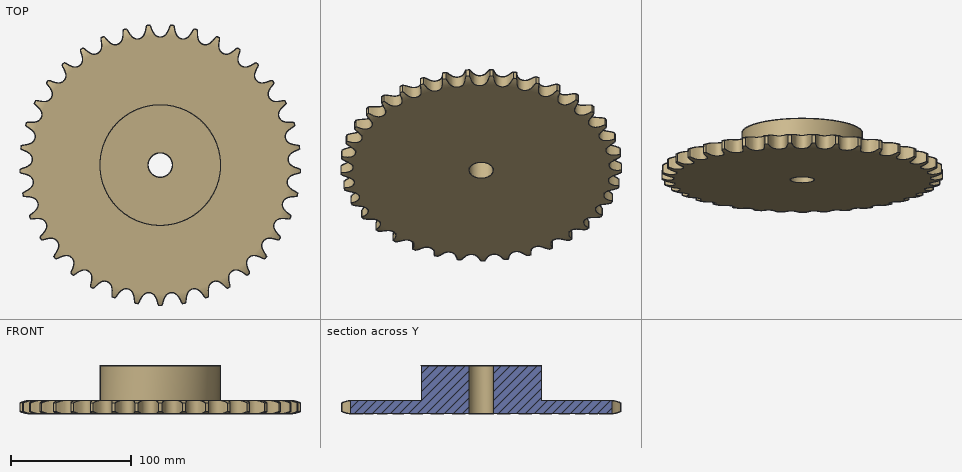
import cadquery as cq
import math

tooth_count = 37
pitch_diameter = 224.6
roller_diameter = 11.9
seat_diameter = 12.0
overall_width = 232.8
tip_half_angle = 0.6
plate_thickness = 11.2
total_height = 40.0
hub_diameter = 100.0
bore_diameter = 20.0

widest_corner_angle = math.radians(90 / tooth_count - tip_half_angle)
outer_radius = overall_width / 2 / math.cos(widest_corner_angle)

relief_start_radius = 107.8
relief_curve_radius = 19.0

pitch_radius = pitch_diameter / 2
seat_radius = seat_diameter / 2
seat_end_heading = math.radians(35 + 60 / tooth_count)
working_angle = math.radians(18 - 56 / tooth_count)
topping_angle = math.radians(17 - 64 / tooth_count)
working_radius = 1.3 * roller_diameter
flat_length = roller_diameter * (1.4 * math.sin(topping_angle) - 0.8 * math.sin(working_angle))
topping_radius = (
    roller_diameter * (0.8 * math.cos(working_angle) + 1.4 * math.cos(topping_angle)) - working_radius
)

cutter_overrun = 1.2


def disc_blank():
    """Toothless disc whose two rims curve inward towards the tooth tips."""
    relief_width = outer_radius - relief_start_radius
    middle_radius = relief_start_radius + relief_width / 2

    def relief_depth(radius):
        distance = radius - relief_start_radius
        return relief_curve_radius - math.sqrt(relief_curve_radius**2 - distance**2)

    middle_depth = relief_depth(middle_radius)
    tip_depth = relief_depth(outer_radius)
    return (
        cq.Workplane("XZ")
        .lineTo(relief_start_radius, 0)
        .threePointArc((middle_radius, middle_depth), (outer_radius, tip_depth))
        .lineTo(outer_radius, plate_thickness - tip_depth)
        .threePointArc(
            (middle_radius, plate_thickness - middle_depth),
            (relief_start_radius, plate_thickness),
        )
        .lineTo(0, plate_thickness)
        .close()
        .revolve(360, (0, 0, 0), (0, 1, 0))
    )


def arc_point(center, radius, heading):
    """Point of a circle where its outward normal is square to the given heading."""
    return center[0] + radius * math.cos(heading), center[1] - radius * math.sin(heading)


def mirrored(point):
    return -point[0], point[1]


def tooth_gap():
    """Cutter for the gap on the +Y axis: seat, working curve, short flat and topping curve."""
    seat_bottom = (0, pitch_radius - seat_radius)
    seat_end = arc_point((0, pitch_radius), seat_radius, seat_end_heading)

    flat_heading = seat_end_heading - working_angle
    working_center = arc_point(seat_end, -working_radius, seat_end_heading)
    working_middle = arc_point(working_center, working_radius, seat_end_heading - working_angle / 2)
    working_end = arc_point(working_center, working_radius, flat_heading)

    flat_end = (
        working_end[0] + flat_length * math.sin(flat_heading),
        working_end[1] + flat_length * math.cos(flat_heading),
    )

    topping_center = arc_point(flat_end, topping_radius, flat_heading)

    def topping_point(y):
        rise = y - topping_center[1]
        return topping_center[0] - math.sqrt(topping_radius**2 - rise**2), y

    topping_end = topping_point(outer_radius + cutter_overrun)
    topping_middle = topping_point((flat_end[1] + topping_end[1]) / 2)

    return (
        cq.Workplane("XY")
        .moveTo(*mirrored(seat_end))
        .threePointArc(seat_bottom, seat_end)
        .threePointArc(working_middle, working_end)
        .lineTo(*flat_end)
        .threePointArc(topping_middle, topping_end)
        .lineTo(*mirrored(topping_end))
        .threePointArc(mirrored(topping_middle), mirrored(flat_end))
        .lineTo(*mirrored(working_end))
        .threePointArc(mirrored(working_middle), mirrored(seat_end))
        .close()
        .extrude(plate_thickness)
    )


def tooth_gaps():
    """All gap cutters, evenly spaced around the Z axis."""
    gap = tooth_gap().val()
    step = 360 / tooth_count
    gaps = [gap.rotate((0, 0, 0), (0, 0, 1), index * step) for index in range(tooth_count)]
    return cq.Compound.makeCompound(gaps)


hub = cq.Workplane("XY").circle(hub_diameter / 2).extrude(total_height)
bore = cq.Workplane("XY").circle(bore_diameter / 2).extrude(total_height)

result = disc_blank().cut(cq.Workplane(tooth_gaps())).union(hub).cut(bore)